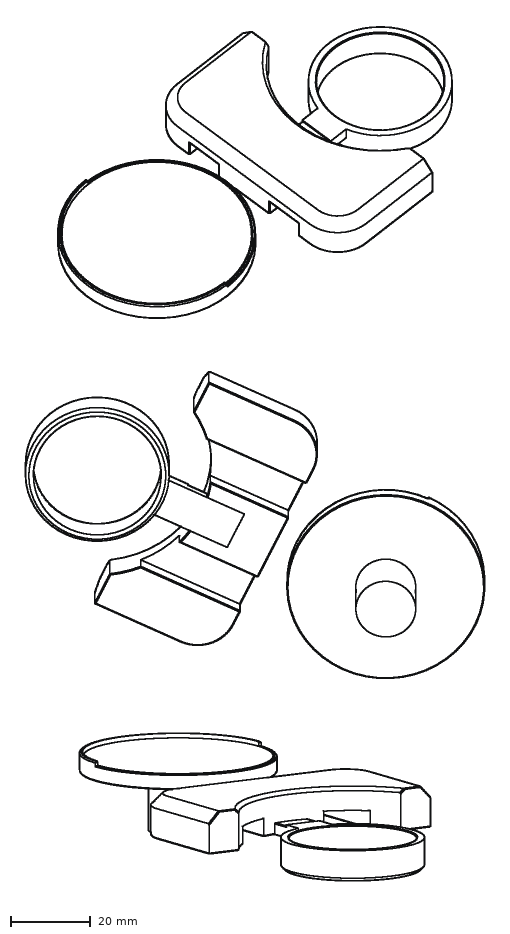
import cadquery as cq


edge_break = 0.2

pin_diameter = 15.0
tray_diameter = 49.5
tray_bottom = 15.0
tray_rim_top = 18.9
lip_top = 20.0
lip_chamfer = 0.4
recess_diameter = 48.0
recess_floor = 17.4

insert_diameter = 47.5

block_width = 66.0
block_front = 31.2
block_back = 64.9
block_bottom = 7.7
block_top = 18.4
block_corner_radius = 10.0
block_chamfer = 3.0
bay_radius = 28.5
bay_chamfer = 1.0
tab_width = 17.9
channel_width = 10.1
channel_top = 12.4

ring_outer_diameter = 36.0
ring_inner_diameter = 31.9
ring_center_y = 80.0
ring_bottom = 3.2
ring_top = 11.0
ring_bottom_chamfer = 0.9
ring_opening_chamfer = 0.2
arm_width = 10.0
tongue_start_y = 57.2
tongue_drop = 0.4
tongue_depth_in_block = 10.0
tongue_end_y = ring_center_y - bay_radius - tongue_depth_in_block


def box_between(x_size, y_range, z_range):
    """Box centred on X that spans the given Y and Z ranges."""
    return (
        cq.Workplane("XY")
        .box(x_size, y_range[1] - y_range[0], z_range[1] - z_range[0], centered=(True, False, False))
        .translate((0, y_range[0], z_range[0]))
    )


def cylinder(diameter, z_range, center_y=0):
    """Upright cylinder spanning the given Z range."""
    return (
        cq.Workplane("XY", origin=(0, center_y, z_range[0]))
        .circle(diameter / 2)
        .extrude(z_range[1] - z_range[0])
    )


def make_holder():
    """Tray on its pin; the front half of the tray rises to the lip, the back half stays low."""
    low_tray = cylinder(tray_diameter, (tray_bottom, tray_rim_top)).edges().chamfer(edge_break)
    lip_z = (tray_bottom + edge_break, lip_top)
    back_half = box_between(tray_diameter, (0, tray_diameter), lip_z)
    lip_half = cylinder(tray_diameter, lip_z).cut(back_half)
    lip_half = lip_half.faces(">Z").edges().chamfer(lip_chamfer)
    recess = cylinder(recess_diameter, (recess_floor, lip_top))
    pin = cylinder(pin_diameter, (0, tray_bottom))
    return low_tray.union(lip_half).cut(recess).union(pin)


def make_insert():
    """Plain disc filling the recess of the tray with a small gap around it."""
    return cylinder(insert_diameter, (recess_floor, tray_rim_top))


def make_tongue():
    """End of the arm, stepped down from its top; also the shape of its socket in the block."""
    tongue = box_between(
        arm_width, (tongue_end_y, tongue_start_y), (block_bottom, ring_top - tongue_drop)
    )
    return tongue.edges("|Y and >Z").chamfer(edge_break)


def make_ring():
    """Ring with its arm and tongue."""
    ring = cylinder(ring_outer_diameter, (ring_bottom, ring_top), ring_center_y)
    ring = ring.faces("<Z").edges().chamfer(ring_bottom_chamfer)
    arm = box_between(arm_width, (tongue_start_y, ring_center_y), (block_bottom, ring_top))
    opening = cylinder(ring_inner_diameter, (ring_bottom, ring_top), ring_center_y)
    ring = ring.union(arm).cut(opening)
    opening_top_edge = ring.edges(cq.selectors.RadiusNthSelector(0)).edges(">Z")
    ring = opening_top_edge.chamfer(ring_opening_chamfer)
    return ring.union(make_tongue())


def channel_mouth_edges():
    """Selects the edges of the two channel mouths in the front face of the block."""
    half_width = tab_width / 2 + channel_width + edge_break
    return cq.selectors.BoxSelector(
        (-half_width, block_front - edge_break, block_bottom + edge_break),
        (half_width, block_front + edge_break, channel_top + edge_break),
    )


def make_block():
    """Block with the concave bay, the two channels and the tongue socket in its tab."""
    block = box_between(block_width, (block_front, block_back), (block_bottom, block_top))
    block = block.edges("|Z and <Y").fillet(block_corner_radius)
    block = block.faces(">Z").edges("not >Y").chamfer(block_chamfer)

    bay = cylinder(2 * bay_radius, (block_bottom, block_top), ring_center_y)
    bay_flare = cq.Solid.makeCone(
        bay_radius,
        bay_radius + bay_chamfer,
        bay_chamfer,
        pnt=cq.Vector(0, ring_center_y, block_top - bay_chamfer),
    )
    block = block.cut(bay).cut(cq.Workplane(bay_flare))

    block = block.faces(">Y").edges("not |Z").edges("not <Z").chamfer(edge_break)

    channel = box_between(channel_width, (block_front, block_back), (block_bottom, channel_top))
    channel_offset = (tab_width + channel_width) / 2
    for side in (-1, 1):
        block = block.cut(channel.translate((side * channel_offset, 0, 0)))

    block = block.edges(channel_mouth_edges()).chamfer(edge_break)
    block = block.faces("<Z").edges().chamfer(edge_break)
    return block.cut(make_tongue())


holder = make_holder()
insert = make_insert()
ring = make_ring()
block = make_block()

bodies = [holder, insert, ring, block]
result = cq.Compound.makeCompound([body.solids().val() for body in bodies])